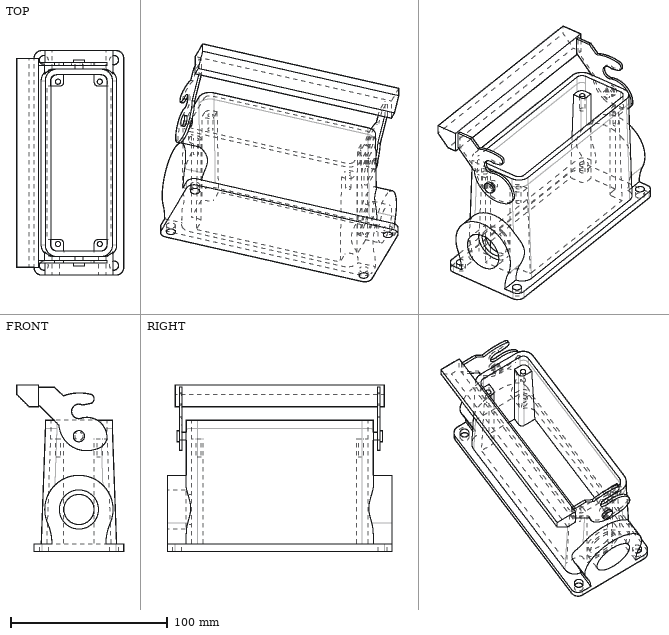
import cadquery as cq
import math

FLANGE_WIDTH = 57.6
LENGTH = 144.0
FLANGE_THICKNESS = 5.0
FLANGE_CORNER = 5.0
SCREW_HOLE_DIAMETER = 5.8
SCREW_HOLE_X = 22.5
SCREW_HOLE_Y = 65.8

SHELL_LENGTH = 120.1
SHELL_BASE_WIDTH = 48.4
SHELL_TOP_WIDTH = 43.0
SHELL_CORNER = 7.5
SHELL_HEIGHT = 84.4
LIP_HEIGHT = 5.5
WALL = 3.6
LIP_BASE_HEIGHT = SHELL_HEIGHT - LIP_HEIGHT

POST_TOP_HEIGHT = 72.3
POST_INNER_X = 9.8
POST_INNER_Y = 49.1
POST_CORNER = 2.6
POST_HOLE_DIAMETER = 3.3
POST_HOLE_DEPTH = 11.5
POST_HOLE_X = 13.4
POST_HOLE_Y = 52.0

BOSS_RADIUS = 21.9
BOSS_HEIGHT = 27.0
BOSS_FOOT_HALF_WIDTH = 17.3
PORT_RADIUS = 12.5
PORT_INNER_RADIUS = 9.6

PIVOT_HEIGHT = 74.0
PIN_DIAMETER = 5.2
PIN_HEAD_DIAMETER = 7.2

PLATE_THICKNESS = 1.7
PLATE_INNER_Y = 62.5
PLATE_OUTER_Y = PLATE_INNER_Y + PLATE_THICKNESS
PIN_HEAD_THICKNESS = PLATE_THICKNESS
BAR_LENGTH = 133.9
BAR_LEFT_X = -39.9
BAR_RIGHT_X = -25.8
BAR_BOTTOM_Z = 92.7
BAR_TOP_Z = 106.8
BAR_CHAMFER = 8.0
ARM_TOP_Z = 105.4
ARM_BOTTOM_Z = 93.9
ARM_TOP_RIGHT_X = -15.7

FINGER_ROOT = (-10.0, 100.0)
FINGER_CREST = (-0.7, 101.8)
FINGER_TIP_TOP = (7.6, 101.0)
FINGER_TIP = (9.8, 97.8)
FINGER_TIP_BOTTOM = (7.9, 95.0)
NOTCH_TOP = (2.3, 93.9)
NOTCH_BACK = (-4.6, 90.0)
NOTCH_BOTTOM = (0.7, 85.4)
LOBE_SHOULDER = (14.1, 82.5)
LOBE_RIGHT = (17.9, 71.7)
LOBE_CORNER = (14.8, 67.5)
LOBE_BOTTOM = (10.2, 65.5)
LOBE_BELLY = (-8.8, 71.1)
LOBE_HEEL = (-12.8, 81.0)


def drafted_block(inset):
    """Shell outline moved inwards by inset, from the flange top up to the rim."""
    length = SHELL_LENGTH - 2 * inset
    half_top = SHELL_TOP_WIDTH / 2 - inset
    half_base = SHELL_BASE_WIDTH / 2 - inset
    return (
        cq.Workplane("XZ", origin=(0, length / 2, 0))
        .moveTo(-half_base, FLANGE_THICKNESS)
        .lineTo(half_base, FLANGE_THICKNESS)
        .lineTo(half_top, LIP_BASE_HEIGHT)
        .lineTo(half_top, SHELL_HEIGHT)
        .lineTo(-half_top, SHELL_HEIGHT)
        .lineTo(-half_top, LIP_BASE_HEIGHT)
        .close()
        .extrude(length)
        .edges("not (|X or |Y)")
        .fillet(SHELL_CORNER - inset)
    )


def make_flange():
    """Rounded base plate."""
    plate = cq.Workplane("XY").rect(FLANGE_WIDTH, LENGTH).extrude(FLANGE_THICKNESS)
    return plate.edges("|Z").fillet(FLANGE_CORNER)


def make_end_bosses():
    """Round bosses that flow through hollow arcs into feet standing on the flange."""
    rise = BOSS_HEIGHT - FLANGE_THICKNESS
    foot_radius = (BOSS_FOOT_HALF_WIDTH**2 + rise**2 - BOSS_RADIUS**2) / (
        2 * (BOSS_RADIUS - BOSS_FOOT_HALF_WIDTH)
    )
    foot_centre_x = BOSS_FOOT_HALF_WIDTH + foot_radius
    angle = math.atan2(rise, foot_centre_x)
    join_x = BOSS_RADIUS * math.cos(angle)
    join_z = BOSS_HEIGHT - BOSS_RADIUS * math.sin(angle)
    mid_x = foot_centre_x - foot_radius * math.cos(angle / 2)
    mid_z = FLANGE_THICKNESS + foot_radius * math.sin(angle / 2)
    return (
        cq.Workplane("XZ", origin=(0, LENGTH / 2, 0))
        .moveTo(-BOSS_FOOT_HALF_WIDTH, 0)
        .lineTo(BOSS_FOOT_HALF_WIDTH, 0)
        .lineTo(BOSS_FOOT_HALF_WIDTH, FLANGE_THICKNESS)
        .threePointArc((mid_x, mid_z), (join_x, join_z))
        .threePointArc((0, BOSS_HEIGHT + BOSS_RADIUS), (-join_x, join_z))
        .threePointArc((-mid_x, mid_z), (-BOSS_FOOT_HALF_WIDTH, FLANGE_THICKNESS))
        .close()
        .extrude(LENGTH)
    )


def make_corner_posts(cavity):
    """Posts filling the cavity corners up to POST_TOP_HEIGHT, with a blind hole in each."""
    post_width = SHELL_BASE_WIDTH / 2 - POST_INNER_X
    post_length = SHELL_LENGTH / 2 - POST_INNER_Y
    posts = cq.Workplane("XY")
    for side_x in (-1, 1):
        for side_y in (-1, 1):
            centre_x = side_x * (POST_INNER_X + post_width / 2)
            centre_y = side_y * (POST_INNER_Y + post_length / 2)
            post = (
                cq.Workplane("XY")
                .center(centre_x, centre_y)
                .rect(post_width, post_length)
                .extrude(POST_TOP_HEIGHT)
                .edges("|Z")
                .fillet(POST_CORNER)
            )
            posts = posts.add(post)
    holes = (
        cq.Workplane("XY", origin=(0, 0, POST_TOP_HEIGHT - POST_HOLE_DEPTH))
        .rect(2 * POST_HOLE_X, 2 * POST_HOLE_Y, forConstruction=True)
        .vertices()
        .circle(POST_HOLE_DIAMETER / 2)
        .extrude(POST_HOLE_DEPTH)
    )
    return cavity.intersect(posts.combine()).cut(holes)


def make_pivot_pins():
    """Headed pins rooted in the end walls, clasping the lever plates under their heads."""
    pins = []
    root_y = SHELL_LENGTH / 2 - WALL / 2
    shank_length = PLATE_OUTER_Y - root_y
    for side_y in (-1, 1):
        outwards = cq.Vector(0, side_y, 0)
        root = cq.Vector(0, side_y * root_y, PIVOT_HEIGHT)
        head_seat = cq.Vector(0, side_y * PLATE_OUTER_Y, PIVOT_HEIGHT)
        shank = cq.Solid.makeCylinder(PIN_DIAMETER / 2, shank_length, root, outwards)
        head = cq.Solid.makeCylinder(PIN_HEAD_DIAMETER / 2, PIN_HEAD_THICKNESS, head_seat, outwards)
        pins.append(cq.Workplane(obj=shank.fuse(head)))
    return pins


def make_housing():
    """Flanged shell with end bosses, corner posts, cable port, screw holes and pivot pins."""
    cavity = drafted_block(WALL)
    body = make_flange().union(drafted_block(0)).union(make_end_bosses())
    body = body.cut(cavity).union(make_corner_posts(cavity))

    port = cq.Workplane("XZ", origin=(0, -LENGTH / 2, BOSS_HEIGHT))
    wall_face_depth = (LENGTH - SHELL_LENGTH) / 2
    body = body.cut(port.circle(PORT_RADIUS).extrude(-wall_face_depth))
    body = body.cut(port.circle(PORT_INNER_RADIUS).extrude(-(wall_face_depth + WALL)))

    screw_holes = (
        cq.Workplane("XY")
        .rect(2 * SCREW_HOLE_X, 2 * SCREW_HOLE_Y, forConstruction=True)
        .vertices()
        .circle(SCREW_HOLE_DIAMETER / 2)
        .extrude(FLANGE_THICKNESS)
    )
    body = body.cut(screw_holes)
    for pin in make_pivot_pins():
        body = body.union(pin)
    return body


def make_lever_plate(outer_y):
    """Hooked plate from outer_y towards -Y: arm, hook finger, round notch and pivot lobe."""
    plate = (
        cq.Workplane("XZ", origin=(0, outer_y, 0))
        .moveTo(BAR_RIGHT_X, ARM_BOTTOM_Z)
        .lineTo(BAR_RIGHT_X, ARM_TOP_Z)
        .lineTo(ARM_TOP_RIGHT_X, ARM_TOP_Z)
        .lineTo(*FINGER_ROOT)
        .threePointArc(FINGER_CREST, FINGER_TIP_TOP)
        .threePointArc(FINGER_TIP, FINGER_TIP_BOTTOM)
        .lineTo(*NOTCH_TOP)
        .threePointArc(NOTCH_BACK, NOTCH_BOTTOM)
        .threePointArc(LOBE_SHOULDER, LOBE_RIGHT)
        .threePointArc(LOBE_CORNER, LOBE_BOTTOM)
        .threePointArc(LOBE_BELLY, LOBE_HEEL)
        .close()
        .extrude(PLATE_THICKNESS)
    )
    pivot = cq.Workplane("XZ", origin=(0, outer_y, PIVOT_HEIGHT))
    pivot_hole = pivot.circle(PIN_DIAMETER / 2).extrude(PLATE_THICKNESS)
    return plate.cut(pivot_hole)


def make_lever():
    """Cross bar with a hooked plate near each end."""
    bar = (
        cq.Workplane("XZ", origin=(0, BAR_LENGTH / 2, 0))
        .moveTo(BAR_LEFT_X, BAR_TOP_Z)
        .lineTo(BAR_RIGHT_X, BAR_TOP_Z)
        .lineTo(BAR_RIGHT_X, BAR_BOTTOM_Z)
        .lineTo(BAR_LEFT_X + BAR_CHAMFER, BAR_BOTTOM_Z)
        .lineTo(BAR_LEFT_X, BAR_BOTTOM_Z + BAR_CHAMFER)
        .close()
        .extrude(BAR_LENGTH)
    )
    return bar.union(make_lever_plate(PLATE_OUTER_Y)).union(make_lever_plate(-PLATE_INNER_Y))


housing = make_housing()
lever = make_lever()
result = cq.Compound.makeCompound([housing.solids().val(), lever.solids().val()])